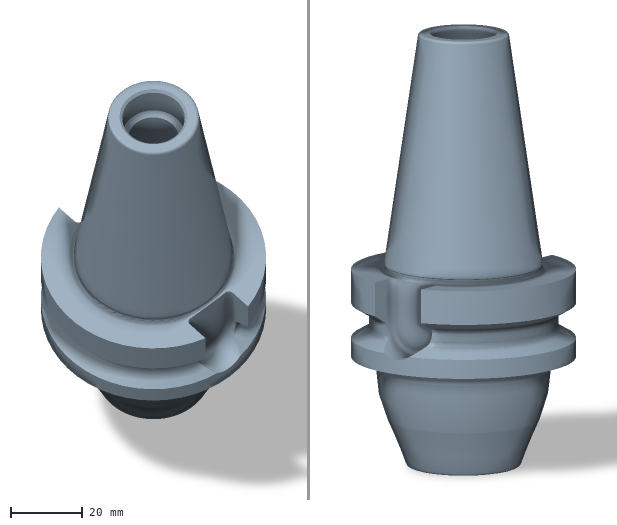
import cadquery as cq
import math

total_height = 123.4
gauge_z = 58.0
flange_top_z = 56.0
flange_bottom_z = 31.0

gauge_radius = 22.2
taper_ratio = 7 / 48
shank_top_radius = gauge_radius - taper_ratio * (total_height - gauge_z)
shank_rounding = 0.7

undercut_radius = 22.0
undercut_top_z = 57.5
undercut_chamfer = gauge_radius - undercut_radius
undercut_fillet = 0.7
relief_radius = 23.7
relief_depth = 0.2

flange_radius = 63.0 / 2
groove_radius = 26.5
groove_top_z = 46.4
groove_bottom_z = 36.4
groove_wall_angle = math.radians(30)
groove_wall_height = (flange_radius - groove_radius) * math.tan(groove_wall_angle)
groove_fillet = 1.2

nose_radius = 49.0 / 2
shoulder_z = 27.5
inflection_radius = 21.3
inflection_z = 13.3
tip_radius = 15.9
tip_fillet = 1.0
neck_fillet = 0.6

slot_width = 16.2
slot_floor_x = 22.6
slot_bottom_z = 35.2
slot_fillet = 1.5

bore_radius = 8.8
bore_depth = 9.1
bore_chamfer = 0.7
pilot_radius = 7.0
pilot_depth = 32.1
lead_in_angle = math.radians(30)
drill_half_angle = math.radians(59)


def make_body():
    """Revolve the outer outline about Z."""
    rounding_end_radius = shank_top_radius + taper_ratio * shank_rounding
    relief_floor_z = flange_top_z - relief_depth
    return (
        cq.Workplane("XZ")
        .moveTo(0, total_height)
        .lineTo(shank_top_radius - shank_rounding, total_height)
        .tangentArcPoint((rounding_end_radius, total_height - shank_rounding), relative=False)
        .lineTo(gauge_radius, gauge_z)
        .lineTo(gauge_radius, undercut_top_z)
        .lineTo(undercut_radius, undercut_top_z - undercut_chamfer)
        .lineTo(undercut_radius, relief_floor_z + undercut_fillet)
        .tangentArcPoint((undercut_radius + undercut_fillet, relief_floor_z), relative=False)
        .lineTo(relief_radius, flange_top_z)
        .lineTo(flange_radius, flange_top_z)
        .lineTo(flange_radius, groove_top_z)
        .lineTo(groove_radius, groove_top_z - groove_wall_height)
        .lineTo(groove_radius, groove_bottom_z + groove_wall_height)
        .lineTo(flange_radius, groove_bottom_z)
        .lineTo(flange_radius, flange_bottom_z)
        .lineTo(nose_radius + neck_fillet, flange_bottom_z)
        .tangentArcPoint((nose_radius, flange_bottom_z - neck_fillet), relative=False)
        .lineTo(nose_radius, shoulder_z)
        .tangentArcPoint((inflection_radius, inflection_z), relative=False)
        .tangentArcPoint((tip_radius, 0), relative=False)
        .lineTo(0, 0)
        .close()
        .revolve(360, (0, 0, 0), (0, 1, 0))
    )


def make_slot(side):
    """Round-ended slot cutter open at the top and outside, with filleted floor edges."""
    half_width = slot_width / 2
    round_center_z = slot_bottom_z + half_width
    top_z = flange_top_z + slot_width
    cutter = (
        cq.Workplane("YZ", origin=(slot_floor_x, 0, 0))
        .moveTo(-half_width, top_z)
        .lineTo(-half_width, round_center_z)
        .threePointArc((0, slot_bottom_z), (half_width, round_center_z))
        .lineTo(half_width, top_z)
        .close()
        .extrude(flange_radius)
        .faces("<X")
        .edges()
        .fillet(slot_fillet)
    )
    return cutter if side > 0 else cutter.mirror("YZ")


def make_bore():
    """Counterbore, conical lead-in, pilot hole and drill-point bottom as one revolved cutter."""
    ledge_z = total_height - bore_depth
    lead_in_height = (bore_radius - pilot_radius) * math.tan(lead_in_angle)
    pilot_end_z = total_height - pilot_depth
    point_z = pilot_end_z - pilot_radius / math.tan(drill_half_angle)
    return (
        cq.Workplane("XZ")
        .moveTo(0, total_height)
        .lineTo(bore_radius + bore_chamfer, total_height)
        .lineTo(bore_radius, total_height - bore_chamfer)
        .lineTo(bore_radius, ledge_z)
        .lineTo(pilot_radius, ledge_z - lead_in_height)
        .lineTo(pilot_radius, pilot_end_z)
        .lineTo(0, point_z)
        .close()
        .revolve(360, (0, 0, 0), (0, 1, 0))
    )


def fillet_groove(body):
    """Round both corners at the foot of the gripper groove."""
    for corner_z in (groove_bottom_z + groove_wall_height, groove_top_z - groove_wall_height):
        corner = cq.selectors.BoxSelector(
            (-flange_radius, -flange_radius, corner_z - groove_fillet),
            (flange_radius, flange_radius, corner_z + groove_fillet),
            boundingbox=True,
        )
        body = body.edges("%CIRCLE").edges(corner).fillet(groove_fillet)
    return body


body = fillet_groove(make_body())
body = body.faces("<Z").edges().fillet(tip_fillet)
for side in (-1, 1):
    body = body.cut(make_slot(side))
result = body.cut(make_bore())